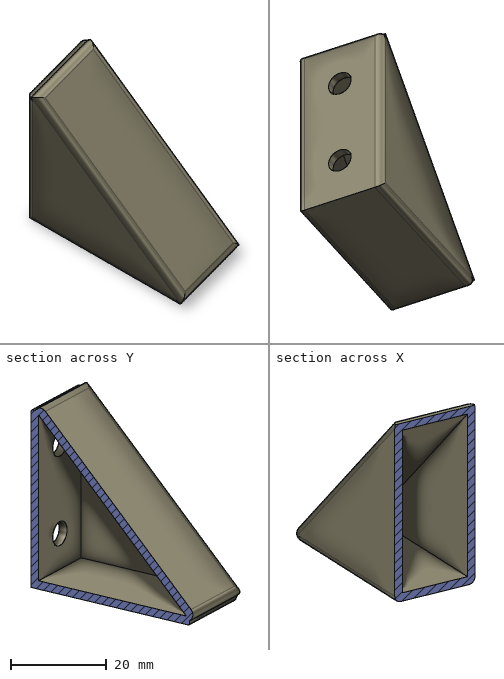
import cadquery as cq
import math

leg = 39.95
width = 20.0
edge_radius = 1.65
tip_radius = 0.5
tip_land = 1.0
wall = 2.0
cover_thickness = 2.15
hole_diameter = 5.35
hole_heights = (10.0, 30.02)

slope_sum = leg + tip_land
cover_length = math.sqrt(2) * (leg - tip_land)
cover_center = (slope_sum / 2, 0, slope_sum / 2)


def make_tip_outline():
    """Body outline with both leg tips rounded on their outer corner."""
    tangent = leg - tip_radius
    middle_offset = tip_radius * (1 - math.sqrt(0.5))
    return (
        cq.Workplane("XZ")
        .lineTo(tangent, 0)
        .threePointArc((leg - middle_offset, middle_offset), (leg, tip_radius))
        .lineTo(leg, tip_land)
        .lineTo(tip_land, leg)
        .lineTo(tip_radius, leg)
        .threePointArc((middle_offset, leg - middle_offset), (0, tangent))
        .close()
    )


def make_body():
    """Right-angled wedge with rounded leg edges and leg tips."""
    outline = [(0, 0), (leg, 0), (leg, tip_land), (tip_land, leg), (0, leg)]
    wedge = cq.Workplane("XZ").polyline(outline).close().extrude(width / 2, both=True)
    wedge = wedge.faces("<Y or >Y").edges("<X or <Z").fillet(edge_radius)
    return wedge.intersect(make_tip_outline().extrude(width / 2, both=True))


def make_cover():
    """Plate lying on the slope, rounded around its outer face."""
    slope = cq.Plane(origin=cover_center, xDir=(1, 0, -1), normal=(1, 0, 1))
    plate = cq.Workplane(slope).rect(cover_length, width).extrude(cover_thickness)
    return plate.faces(">(1, 0, 1)").edges().fillet(edge_radius)


def make_cavity():
    """Triangular hollow inside the shell, closed by the cover."""
    far_end = slope_sum - wall
    outline = [(wall, wall), (far_end, wall), (wall, far_end)]
    return cq.Workplane("XZ").polyline(outline).close().extrude(width / 2 - wall, both=True)


def make_wall_holes():
    """Two screw holes through the upright leg into the cavity."""
    centers = [(0, height) for height in hole_heights]
    return cq.Workplane("YZ").pushPoints(centers).circle(hole_diameter / 2).extrude(wall)


result = make_body().union(make_cover()).cut(make_cavity()).cut(make_wall_holes())